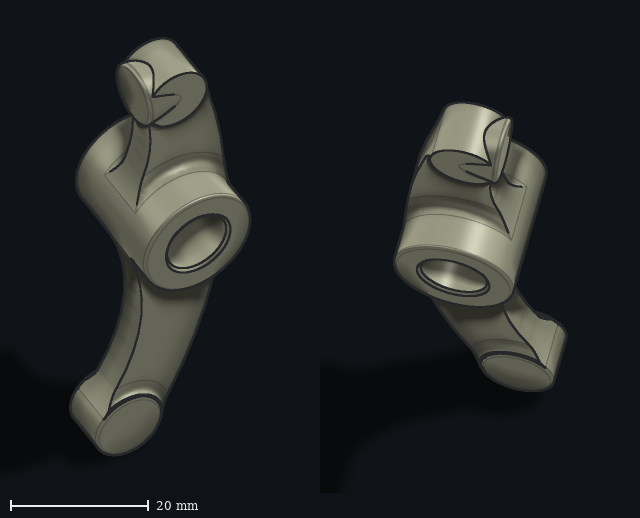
import cadquery as cq
import math

HUB = (0.0, 0.0, 9.0)
UPPER_END = (0.0, 25.0, 5.0)
LOWER_END = (-8.0, -40.0, 5.5)

HUB_WIDTH = 20.0
END_WIDTH = 8.0
WEB_WIDTH = 5.0

BACK_RADIUS = 82.5
UPPER_FRONT_RADIUS = 20.0
LOWER_FRONT_RADIUS = 30.0

BORE_RADIUS = 5.0
EDGE_BREAK = 0.45
ROOT_FILLET = 2.0

PAD_RADIUS = 4.9
PAD_RIM = 0.6
PAD_NECK_RADIUS = 3.85
PAD_NECK_Y = 1.5
PAD_FACE_Y = -5.1


def polar(centre, radius, angle):
    return (centre[0] + radius * math.cos(angle), centre[1] + radius * math.sin(angle))


def direction(start, end):
    return math.atan2(end[1] - start[1], end[0] - start[0])


def tangent_arc(start_end, finish_end, radius, sign):
    """Start, middle and finish of an arc tangent to two round ends.

    The arc's centre lies on the -Y side. A sign of -1 wraps the ends, +1 runs between them.
    """
    start_reach = radius + sign * start_end[2]
    finish_reach = radius + sign * finish_end[2]
    span = math.dist(start_end[:2], finish_end[:2])
    along = (start_reach**2 - finish_reach**2 + span**2) / (2 * span)
    offset = math.acos(along / start_reach)
    heading = direction(start_end, finish_end)
    candidates = [polar(start_end, start_reach, heading + turn) for turn in (-offset, offset)]
    centre = min(candidates)
    start_angle = direction(centre, start_end)
    finish_angle = direction(centre, finish_end)
    middle_angle = (start_angle + finish_angle) / 2
    return [polar(centre, radius, angle) for angle in (start_angle, middle_angle, finish_angle)]


def arm_prism(width):
    """Arm outline between the round ends, closed through their axes, centred on X = 0."""
    back = tangent_arc(UPPER_END, LOWER_END, BACK_RADIUS, -1)
    lower_front = tangent_arc(LOWER_END, HUB, LOWER_FRONT_RADIUS, 1)
    upper_front = tangent_arc(HUB, UPPER_END, UPPER_FRONT_RADIUS, 1)
    return (
        cq.Workplane("YZ")
        .moveTo(*back[0])
        .threePointArc(back[1], back[2])
        .lineTo(*LOWER_END[:2])
        .lineTo(*lower_front[0])
        .threePointArc(lower_front[1], lower_front[2])
        .lineTo(*HUB[:2])
        .lineTo(*upper_front[0])
        .threePointArc(upper_front[1], upper_front[2])
        .lineTo(*UPPER_END[:2])
        .close()
        .extrude(width / 2, both=True)
    )


def round_end(end, width):
    y, z, radius = end
    return cq.Workplane("YZ").center(y, z).circle(radius).extrude(width / 2, both=True)


def root_flare(end, width, rim_round):
    """Concave fillet from the web sides up to a round end, cut off at the end's faces.

    Where the end has rounded rims, the flare slopes inward over rim_round to clear them.
    """
    y, z, radius = end
    height = min(ROOT_FILLET, (width - WEB_WIDTH) / 2 - rim_round)
    base = WEB_WIDTH / 2
    top = base + height + rim_round
    inner_radius = radius - EDGE_BREAK

    top_angle = math.acos(1 - height / ROOT_FILLET)

    def flare_point(side, angle):
        return (
            side * (base + ROOT_FILLET * (1 - math.cos(angle))),
            radius + ROOT_FILLET * (1 - math.sin(angle)),
        )

    flare = (
        cq.Workplane("XY", origin=(0, y, z))
        .moveTo(-top, 0)
        .lineTo(-top, inner_radius)
        .lineTo(*flare_point(-1, top_angle))
        .threePointArc(flare_point(-1, top_angle / 2), flare_point(-1, 0))
        .lineTo(*flare_point(1, 0))
        .threePointArc(flare_point(1, top_angle / 2), flare_point(1, top_angle))
        .lineTo(top, inner_radius)
        .lineTo(top, 0)
        .close()
        .revolve(360, (0, 0, 0), (1, 0, 0))
    )
    return flare.intersect(arm_prism(width))


def contact_pad():
    """Cone widening from inside the upper end to a short rim with a rounded edge."""
    rim_y = PAD_FACE_Y + PAD_RIM
    face_radius = PAD_RADIUS - EDGE_BREAK
    return (
        cq.Workplane("XY", origin=(0, 0, UPPER_END[1]))
        .moveTo(0, PAD_NECK_Y)
        .lineTo(PAD_NECK_RADIUS, PAD_NECK_Y)
        .lineTo(PAD_RADIUS, rim_y)
        .lineTo(PAD_RADIUS, PAD_FACE_Y + EDGE_BREAK)
        .radiusArc((face_radius, PAD_FACE_Y), EDGE_BREAK)
        .lineTo(0, PAD_FACE_Y)
        .close()
        .revolve(360, (0, 0, 0), (0, 1, 0))
    )


def bore():
    """Through hole along the hub axis with a chamfer at each mouth."""
    half = HUB_WIDTH / 2
    mouth_radius = BORE_RADIUS + EDGE_BREAK
    return (
        cq.Workplane("XY")
        .moveTo(-half, 0)
        .lineTo(-half, mouth_radius)
        .lineTo(-half + EDGE_BREAK, BORE_RADIUS)
        .lineTo(half - EDGE_BREAK, BORE_RADIUS)
        .lineTo(half, mouth_radius)
        .lineTo(half, 0)
        .close()
        .revolve(360, (0, 0, 0), (1, 0, 0))
    )


result = arm_prism(WEB_WIDTH)
for flare in (
    root_flare(HUB, HUB_WIDTH, 0),
    root_flare(UPPER_END, END_WIDTH, 0),
    root_flare(LOWER_END, END_WIDTH, EDGE_BREAK),
):
    result = result.union(flare)
for body in (
    round_end(HUB, HUB_WIDTH).faces("<X or >X").edges().fillet(EDGE_BREAK),
    round_end(UPPER_END, END_WIDTH),
    round_end(LOWER_END, END_WIDTH).faces("<X or >X").edges().fillet(EDGE_BREAK),
    contact_pad(),
):
    result = result.union(body)
result = result.cut(bore())